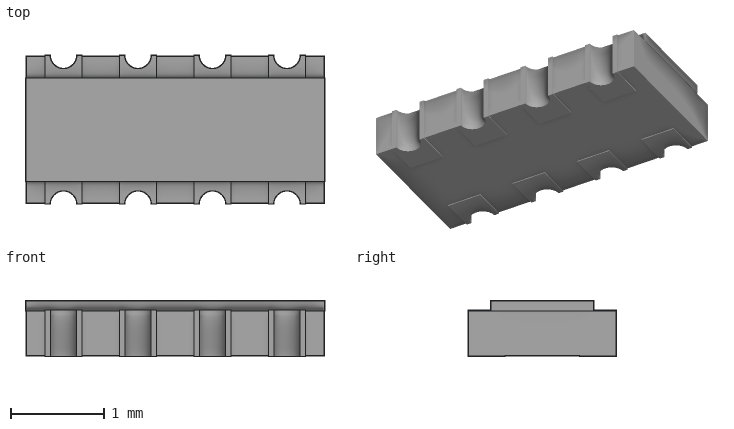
import cadquery as cq

length = 3.21
overall_width = 1.6
overall_height = 0.6
plating = 0.01
cover_overhang = 0.005
cover_width = 1.107
cover_height = 0.11
terminal_count = 4
terminal_pitch = 0.8
terminal_width = 0.398
notch_radius = 0.14
bottom_pad_depth = 0.398

body_length = length - 2 * cover_overhang
body_width = overall_width - 2 * plating
body_top = overall_height - cover_height
terminal_top = body_top + plating
first_terminal_x = -(terminal_count - 1) * terminal_pitch / 2
terminal_xs = [first_terminal_x + i * terminal_pitch for i in range(terminal_count)]


def block(x_size, y_size, bottom, top, x=0.0, y=0.0):
    """Box centred on (x, y) between two heights."""
    return (
        cq.Workplane("XY", origin=(x, y, bottom))
        .rect(x_size, y_size)
        .extrude(top - bottom)
    )


def terminal(x, side):
    """Metal terminal standing proud of one long edge of the body."""
    y = side * (overall_width - bottom_pad_depth) / 2
    return block(terminal_width, bottom_pad_depth, 0, terminal_top, x, y)


def notch(x, side):
    """Half-round groove running the full height of a terminal."""
    return (
        cq.Workplane("XY", origin=(x, side * overall_width / 2, 0))
        .circle(notch_radius)
        .extrude(overall_height)
    )


body = block(body_length, body_width, plating, body_top)
cover = block(length, cover_width, body_top, overall_height)
result = body.union(cover)

for side in (-1, 1):
    for x in terminal_xs:
        result = result.union(terminal(x, side)).cut(notch(x, side))